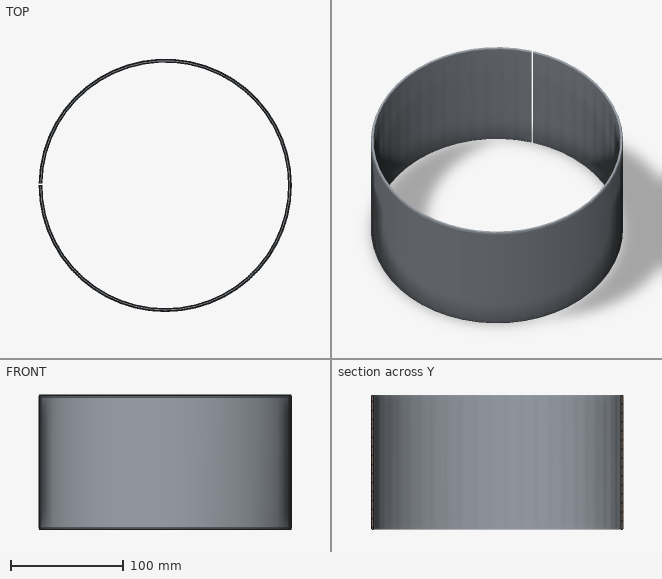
import cadquery as cq

outer_diameter = 225.0
height = 120.0
wall = 2.5
outer_bevel_depth = 0.56
outer_bevel_height = 1.69
inner_bevel_depth = 0.34
inner_bevel_height = 0.56
slit_width = 2.0

outer_radius = outer_diameter / 2
inner_radius = outer_radius - wall


def make_sleeve():
    """Open tube with bevels around the outer and inner rims at both ends."""
    rim_outer_radius = outer_radius - outer_bevel_depth
    rim_inner_radius = inner_radius + inner_bevel_depth
    wall_section = [
        (rim_inner_radius, 0),
        (rim_outer_radius, 0),
        (outer_radius, outer_bevel_height),
        (outer_radius, height - outer_bevel_height),
        (rim_outer_radius, height),
        (rim_inner_radius, height),
        (inner_radius, height - inner_bevel_height),
        (inner_radius, inner_bevel_height),
    ]
    return cq.Workplane("XZ").polyline(wall_section).close().revolve(360, (0, 0), (0, 1))


def make_slit():
    """Full-height cutter that opens the wall on the -X side only."""
    cutter = cq.Workplane("XY").box(outer_radius, slit_width, height, centered=False)
    return cutter.translate((-outer_radius, 0, 0))


result = make_sleeve().cut(make_slit())